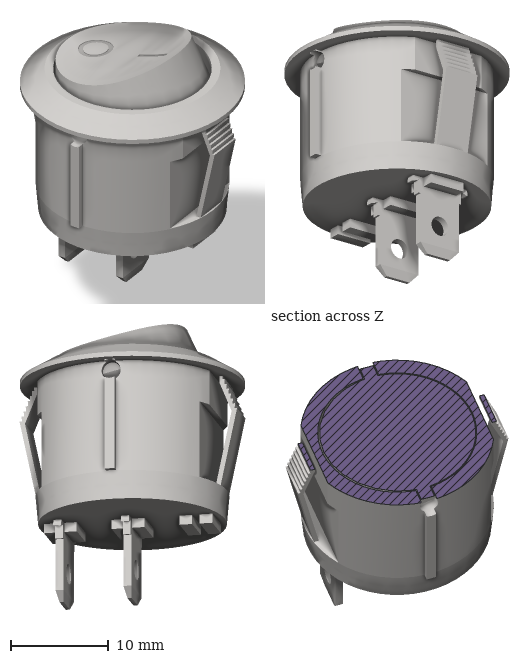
import cadquery as cq
import math


OVERALL_HEIGHT = 28.6

BEZEL_RADIUS = 11.5
BEZEL_RIM_HEIGHT = 0.5
BEZEL_HEIGHT = 2.0
BEZEL_TOP_RADIUS = 8.98
WELL_RADIUS = 16.2 / 2
WELL_FLOOR_Z = -2.85

BARREL_RADIUS = 9.9
UPPER_FLAT_X = 8.98
LOWER_FLAT_X = 8.27
FLAT_STEP_Z = -3.6
LEDGE_Z = -11.6

CAP_TOP_Z = -11.67
CAP_BOTTOM_Z = -14.6
CAP_BOTTOM_RADIUS = 9.65

RIB_WIDTH = 1.03
RIB_REACH_Y = 10.58

PIVOT_Z = -1.0
PIVOT_HOLE_DIAMETER = 2.0
PIN_DIAMETER = 1.9
PIN_END_Y = 9.45
ROCKER_TILT = 12.5
ROCKER_TAPER = 12.5
ROCKER_TOP_RADIUS = 6.98
ROCKER_TOP_HEIGHT = 5.4
ROCKER_TOP_SAG = 0.95
ROCKER_CLEARANCE = 0.05
TOP_CURVE_RADIUS = (ROCKER_TOP_RADIUS**2 + ROCKER_TOP_SAG**2) / (2 * ROCKER_TOP_SAG)
TILT = math.radians(ROCKER_TILT)
ROCKER_TIP_Z = PIVOT_Z + ROCKER_TOP_RADIUS * math.sin(TILT) + ROCKER_TOP_HEIGHT * math.cos(TILT)

MARK_OFFSET = 3.58
MARK_DEPTH = 0.1
RING_OUTER_DIAMETER = 3.6
RING_INNER_DIAMETER = 2.6
BAR_LENGTH = 3.65
BAR_WIDTH = 0.51

CLIP_WIDTH = 3.9
CLIP_TOP_INNER_X = 9.55
CLIP_BEND_Z = -0.75
CLIP_KNEE_INNER_X = 10.8
CLIP_KNEE_INNER_Z = -3.78
CLIP_FOOT_INNER_X = 9.15
CLIP_FOOT_OUTER_X = 9.67
TOOTH_COUNT = 7
TOOTH_PITCH = 0.53
TOOTH_STEP = 0.215
TOOTH_UNDERCUT = 0.043
FIRST_TOOTH_X = 10.1
FIRST_TOOTH_Z = -0.35

POLE_PITCH = 7.1
TERMINAL_X = (-POLE_PITCH, 0)
BLOCK_X = (-POLE_PITCH, 0, POLE_PITCH)
BLOCK_LENGTH = 3.43
BLOCK_WIDTH = 4.05
BLOCK_SLOT = 0.8
BLOCK_BOTTOM_Z = -15.55
BLADE_THICKNESS = 0.83
BLADE_HALF_WIDTH = 2.4
SHOULDER_HALF_WIDTH = 2.65
SHOULDER_Z = -16.4
BLADE_TAPER_Z = -21.8
BLADE_TIP_Z = ROCKER_TIP_Z - OVERALL_HEIGHT
BLADE_TIP_HALF_WIDTH = 1.43
BLADE_TIP_THICKNESS = 0.43
BLADE_HOLE_DIAMETER = 2.1
BLADE_HOLE_Z = -19.48
BARB_TIP_Y = 3.5
BARB_TOP_Y = 3.35
BARB_HEEL_Z = -14.95
BARB_TIP_Z = -15.25

BOTH_SIDES = (-1, 1)


def centred_prism(outline, width):
    """Prism of a sketch, reaching half the width to each side of its plane."""
    return outline.extrude(width / 2, both=True)


def block_between(x_range, y_range, z_range):
    """Box that spans the given ranges."""
    size = [high - low for low, high in (x_range, y_range, z_range)]
    corner = (x_range[0], y_range[0], z_range[0])
    return cq.Workplane("XY").box(*size, centered=False).translate(corner)


def turned(outline):
    """Solid of revolution about Z from (radius, height) points."""
    return cq.Workplane("XZ").polyline(outline).close().revolve(360, (0, 0), (0, 1))


def make_bezel():
    outline = [
        (0, 0),
        (BEZEL_RADIUS, 0),
        (BEZEL_RADIUS, BEZEL_RIM_HEIGHT),
        (BEZEL_TOP_RADIUS, BEZEL_HEIGHT),
        (0, BEZEL_HEIGHT),
    ]
    return turned(outline)


def make_barrel():
    barrel = cq.Workplane("XY").workplane(offset=CAP_TOP_Z).circle(BARREL_RADIUS).extrude(-CAP_TOP_Z)
    for side in BOTH_SIDES:
        for flat_x, top_z in ((UPPER_FLAT_X, 0), (LOWER_FLAT_X, FLAT_STEP_Z)):
            x_range = sorted((side * flat_x, side * BEZEL_RADIUS))
            waste = block_between(x_range, (-BEZEL_RADIUS, BEZEL_RADIUS), (LEDGE_Z, top_z))
            barrel = barrel.cut(waste)
    return barrel


def make_cap():
    outline = [
        (0, CAP_TOP_Z),
        (BARREL_RADIUS, CAP_TOP_Z),
        (CAP_BOTTOM_RADIUS, CAP_BOTTOM_Z),
        (0, CAP_BOTTOM_Z),
    ]
    return turned(outline)


def make_rib(side):
    y_range = sorted((side * WELL_RADIUS, side * RIB_REACH_Y))
    return block_between((-RIB_WIDTH / 2, RIB_WIDTH / 2), y_range, (LEDGE_Z, 0))


def make_housing():
    """Bezel, barrel, cap and ribs, with the rocker well and the pivot holes cut out."""
    housing = make_bezel().union(make_barrel()).union(make_cap())
    for side in BOTH_SIDES:
        housing = housing.union(make_rib(side))
    well = cq.Workplane("XY").workplane(offset=WELL_FLOOR_Z).circle(WELL_RADIUS)
    well = well.extrude(BEZEL_HEIGHT - WELL_FLOOR_Z)
    pivot_hole = cq.Workplane("XZ").center(0, PIVOT_Z).circle(PIVOT_HOLE_DIAMETER / 2)
    pivot_hole = centred_prism(pivot_hole, 2 * BEZEL_RADIUS)
    return housing.cut(well).cut(pivot_hole)


def top_cylinder(radius):
    """Cylinder along Y whose lowest line follows the concave rocker top; extra radius digs deeper."""
    outline = cq.Workplane("XZ").center(0, ROCKER_TOP_HEIGHT - ROCKER_TOP_SAG + TOP_CURVE_RADIUS)
    return centred_prism(outline.circle(radius), 2 * BEZEL_RADIUS)


def make_rocker_cone():
    """Upright cone about the pivot, long enough to pass the well floor when it is tilted."""
    bottom_height = -ROCKER_TOP_HEIGHT
    flare = (ROCKER_TOP_HEIGHT - bottom_height) * math.tan(math.radians(ROCKER_TAPER))
    bottom_radius = ROCKER_TOP_RADIUS + flare
    outline = [
        (0, bottom_height),
        (bottom_radius, bottom_height),
        (ROCKER_TOP_RADIUS, ROCKER_TOP_HEIGHT),
        (0, ROCKER_TOP_HEIGHT),
    ]
    return turned(outline)


def make_rocker_marks():
    """Ring over the -X half and bar over the +X half, sunk below the concave top."""
    ring = cq.Workplane("XY").center(-MARK_OFFSET, 0).circle(RING_OUTER_DIAMETER / 2)
    ring = ring.circle(RING_INNER_DIAMETER / 2).extrude(ROCKER_TOP_HEIGHT)
    bar = cq.Workplane("XY").center(MARK_OFFSET, 0).rect(BAR_LENGTH, BAR_WIDTH).extrude(ROCKER_TOP_HEIGHT)
    return ring.union(bar).intersect(top_cylinder(TOP_CURVE_RADIUS + MARK_DEPTH))


def make_pins():
    """Pivot pins with the lower half of each end bevelled at 45 degrees."""
    radius = PIN_DIAMETER / 2
    pins = centred_prism(cq.Workplane("XZ").circle(radius), 2 * PIN_END_Y)
    outline = [
        (-PIN_END_Y, 0),
        (PIN_END_Y, 0),
        (PIN_END_Y - radius, -radius),
        (radius - PIN_END_Y, -radius),
    ]
    lower_half = centred_prism(cq.Workplane("YZ").polyline(outline).close(), PIN_DIAMETER)
    upper_half = block_between((-radius, radius), (-PIN_END_Y, PIN_END_Y), (0, radius))
    return pins.intersect(upper_half.union(lower_half))


def place_on_pivot(shape):
    """Tilt a shape so that its +X end rises, then move it to the pivot axis."""
    return shape.rotate((0, 0, 0), (0, 1, 0), -ROCKER_TILT).translate((0, 0, PIVOT_Z))


def make_rocker():
    cone = make_rocker_cone().cut(top_cylinder(TOP_CURVE_RADIUS)).cut(make_rocker_marks())
    swept_space = cq.Workplane("XY").workplane(offset=WELL_FLOOR_Z).circle(WELL_RADIUS - ROCKER_CLEARANCE)
    swept_space = swept_space.extrude(BEZEL_HEIGHT + ROCKER_TOP_HEIGHT - WELL_FLOOR_Z)
    return place_on_pivot(cone).intersect(swept_space).union(place_on_pivot(make_pins()))


def make_clip():
    """Bent spring strip on the +X side with a staircase of teeth above its knee."""
    outline = [
        (CLIP_FOOT_OUTER_X, LEDGE_Z),
        (CLIP_FOOT_INNER_X, LEDGE_Z),
        (CLIP_KNEE_INNER_X, CLIP_KNEE_INNER_Z),
        (CLIP_TOP_INNER_X, CLIP_BEND_Z),
        (CLIP_TOP_INNER_X, 0),
        (FIRST_TOOTH_X - TOOTH_STEP, 0),
    ]
    for tooth in range(TOOTH_COUNT):
        shelf_x = FIRST_TOOTH_X + tooth * TOOTH_STEP
        shelf_z = FIRST_TOOTH_Z - tooth * TOOTH_PITCH
        outline.append((shelf_x - TOOTH_STEP - TOOTH_UNDERCUT, shelf_z))
        outline.append((shelf_x, shelf_z))
    return centred_prism(cq.Workplane("XZ").polyline(outline).close(), CLIP_WIDTH)


def make_terminal_block():
    """Pair of pads with a terminal slot between them."""
    pads = cq.Workplane("XY").workplane(offset=BLOCK_BOTTOM_Z).rect(BLOCK_LENGTH, BLOCK_WIDTH)
    slot = cq.Workplane("XY").workplane(offset=BLOCK_BOTTOM_Z).rect(BLOCK_SLOT, BLOCK_WIDTH)
    height = CAP_BOTTOM_Z - BLOCK_BOTTOM_Z
    return pads.extrude(height).cut(slot.extrude(height))


def make_terminal():
    """Flat blade with barbs under the cap, a shoulder, a hole and a bevelled tip."""
    half_outline = [
        (BARB_TOP_Y, CAP_BOTTOM_Z),
        (BARB_TIP_Y, BARB_HEEL_Z),
        (BARB_TIP_Y, BARB_TIP_Z),
        (BARB_TOP_Y, BARB_TIP_Z),
        (SHOULDER_HALF_WIDTH, BARB_HEEL_Z),
        (SHOULDER_HALF_WIDTH, SHOULDER_Z),
        (BLADE_HALF_WIDTH, SHOULDER_Z),
        (BLADE_HALF_WIDTH, BLADE_TAPER_Z),
        (BLADE_TIP_HALF_WIDTH, BLADE_TIP_Z),
    ]
    mirrored = [(-y, z) for y, z in reversed(half_outline)]
    blade = centred_prism(cq.Workplane("YZ").polyline(half_outline + mirrored).close(), BLADE_THICKNESS)

    profile = [
        (-BLADE_THICKNESS / 2, CAP_BOTTOM_Z),
        (BLADE_THICKNESS / 2, CAP_BOTTOM_Z),
        (BLADE_THICKNESS / 2, BLADE_TAPER_Z),
        (BLADE_TIP_THICKNESS / 2, BLADE_TIP_Z),
        (-BLADE_TIP_THICKNESS / 2, BLADE_TIP_Z),
        (-BLADE_THICKNESS / 2, BLADE_TAPER_Z),
    ]
    thinned = centred_prism(cq.Workplane("XZ").polyline(profile).close(), 2 * BARB_TIP_Y)
    hole = cq.Workplane("YZ").center(0, BLADE_HOLE_Z).circle(BLADE_HOLE_DIAMETER / 2)
    return blade.intersect(thinned).cut(centred_prism(hole, BLADE_THICKNESS))


result = make_housing().union(make_rocker())

clip = make_clip()
result = result.union(clip).union(clip.mirror("YZ"))

for x in BLOCK_X:
    result = result.union(make_terminal_block().translate((x, 0, 0)))

for x in TERMINAL_X:
    result = result.union(make_terminal().translate((x, 0, 0)))